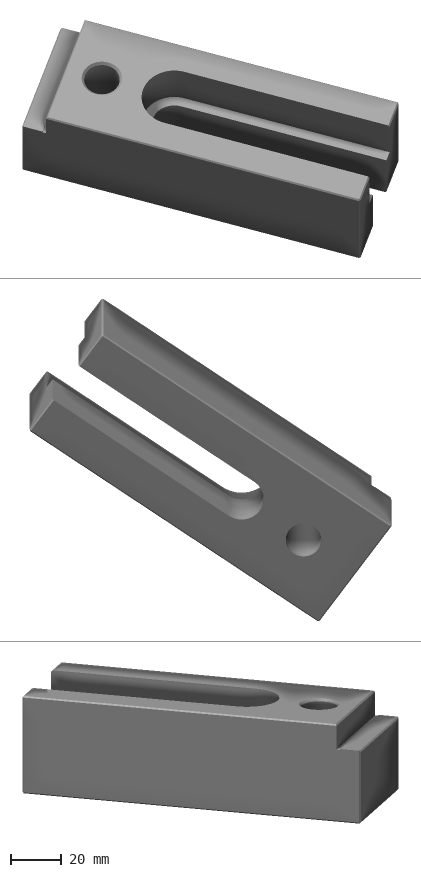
import cadquery as cq

length = 140.0
width = 50.0
height = 40.0
edge_chamfer = 0.5

step_length = 10.0
step_drop = 10.0
relief_width = 1.4
relief_depth = 0.4

hole_diameter = 14.0
hole_mouth_diameter = 16.0
hole_x = 25.0

slot_round_x = 55.0
slot_width = 17.5
upper_slot_width = 25.8
upper_slot_depth = 18.0

nose_height = height - step_drop


def make_block():
    """Rectangular block with its outer edges chamfered."""
    block = cq.Workplane("XY").box(length, width, height, centered=(False, True, False))
    return block.edges().chamfer(edge_chamfer)


def make_step_cutter():
    """Profile removed above the nose, with the crest and nose edges bevelled."""
    profile = [
        (0, height),
        (0, nose_height - edge_chamfer),
        (edge_chamfer, nose_height),
        (step_length - relief_width, nose_height),
        (step_length - relief_width, nose_height - relief_depth),
        (step_length, nose_height - relief_depth),
        (step_length, height - edge_chamfer),
        (step_length + edge_chamfer, height),
    ]
    cutter = cq.Workplane("XZ").polyline(profile).close()
    return cutter.extrude(width / 2, both=True)


def make_hole_cutter():
    """Through hole with a conical lead-in at the top."""
    mouth_depth = (hole_mouth_diameter - hole_diameter) / 2
    profile = [
        (0, 0),
        (hole_diameter / 2, 0),
        (hole_diameter / 2, height - mouth_depth),
        (hole_mouth_diameter / 2, height),
        (0, height),
    ]
    cutter = cq.Workplane("XZ").polyline(profile).close().revolve(360, (0, 0), (0, 1))
    return cutter.translate((hole_x, 0, 0))


def make_slot_cutter(cut_width, floor_z):
    """Slot open at the +X end, with a half-round inner end, from floor_z to the top."""
    radius = cut_width / 2
    return (
        cq.Workplane("XY", origin=(0, 0, floor_z))
        .moveTo(length, -radius)
        .lineTo(slot_round_x, -radius)
        .threePointArc((slot_round_x - radius, 0), (slot_round_x, radius))
        .lineTo(length, radius)
        .close()
        .extrude(height - floor_z)
    )


result = (
    make_block()
    .cut(make_step_cutter())
    .cut(make_hole_cutter())
    .cut(make_slot_cutter(slot_width, 0))
    .cut(make_slot_cutter(upper_slot_width, height - upper_slot_depth))
)